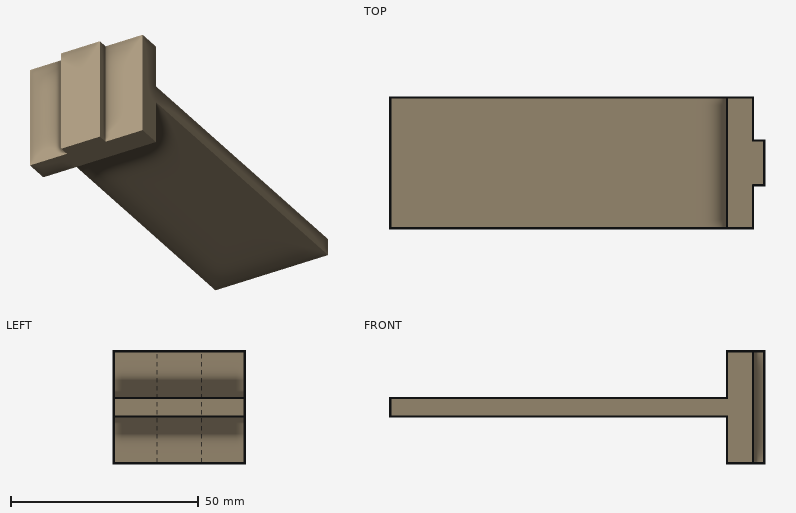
import cadquery as cq

total_length = 100.0
width = 35.0
flange_height = 30.0
flange_thickness = 7.0
key_depth = 3.0
key_width = 12.0
shelf_thickness = 5.0

shelf_length = total_length - flange_thickness - key_depth


def block_from(x_start, length, block_width, height):
    """Box starting at x_start, centred on the X axis in Y and Z."""
    return (
        cq.Workplane("XY")
        .box(length, block_width, height, centered=(False, True, True))
        .translate((x_start, 0, 0))
    )


shelf = block_from(0, shelf_length, width, shelf_thickness)
flange = block_from(shelf_length, flange_thickness, width, flange_height)

key = block_from(shelf_length + flange_thickness, key_depth, key_width, flange_height)

result = shelf.union(flange).union(key)